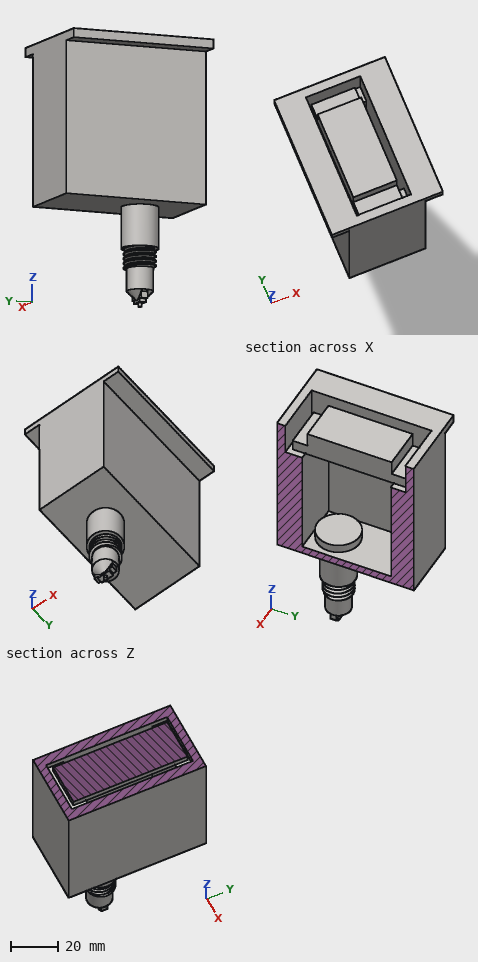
import cadquery as cq
import math


flange_width = 51.0
body_width = 35.0
housing_length = 65.0
flange_thickness = 4.0
housing_height = 70.0
floor_thickness = 4.0
floor_depth = housing_height - floor_thickness

mouth_width = 25.0
mouth_length = 56.9
mouth_depth = 15.0
well_length = 42.0

button_x = -0.3
button_y = 0.6
button_width = 20.0
button_cap_length = 40.0
button_base_length = 54.0
button_base_thickness = 5.0
button_recess = 3.4

probe_y = -9.5
sleeve_diameter = 16.0
sleeve_end_depth = 87.9
collar_diameter = 20.0
collar_thickness = 4.0

nozzle_diameter = 11.5
nozzle_end_diameter = 3.4
thread_diameter = 14.0
thread_pitch = 2.0
thread_crest_width = 0.2
thread_root_width = 1.8
thread_overlap = 0.1
thread_end_depth = 96.6
first_crest_drop = 0.7
cone_start_depth = 106.3
cone_height = (nozzle_diameter - nozzle_end_diameter) / 2

blade_thickness = 2.9
blade_width = 9.8
blade_shoulder_depth = 109.9
blade_tip_width = 6.2
blade_end_depth = 111.4
pin_diameter = 1.6
pin_end_depth = 113.0


def block(width, length, top, bottom, x=0.0, y=0.0):
    """Box centred on (x, y) that spans from depth `top` to depth `bottom`."""
    return (
        cq.Workplane("XY", origin=(x, y, -bottom))
        .rect(width, length)
        .extrude(bottom - top)
    )


def rod(diameter, top, bottom):
    """Cylinder on the probe axis from depth `top` to depth `bottom`."""
    return (
        cq.Workplane("XY", origin=(0, probe_y, -bottom))
        .circle(diameter / 2)
        .extrude(bottom - top)
    )


def make_sleeve():
    collar = rod(collar_diameter, floor_depth - collar_thickness, floor_depth)
    return collar.union(rod(sleeve_diameter, floor_depth, sleeve_end_depth))


def make_housing():
    flange = block(flange_width, housing_length, 0, flange_thickness)
    body = block(body_width, housing_length, flange_thickness, housing_height)
    mouth = block(mouth_width, mouth_length, 0, mouth_depth)
    well = block(mouth_width, well_length, mouth_depth, floor_depth, y=button_y)
    sleeve_hole = rod(sleeve_diameter, floor_depth, housing_height)
    return flange.union(body).cut(mouth).cut(well).cut(sleeve_hole)


def make_button():
    base_top = mouth_depth - button_base_thickness
    cap = block(button_width, button_cap_length, button_recess, base_top, button_x, button_y)
    base = block(button_width, button_base_length, base_top, mouth_depth, button_x, button_y)
    return cap.union(base)


def make_threaded_length():
    """Core with a right-handed ridge, both made too long and then trimmed at the two ends."""
    root_radius = nozzle_diameter / 2 - thread_overlap
    crest_radius = thread_diameter / 2
    turns = math.ceil((thread_end_depth - sleeve_end_depth) / thread_pitch) + 2
    helix_height = turns * thread_pitch
    helix_top = sleeve_end_depth + first_crest_drop - 2 * thread_pitch
    helix_bottom = helix_top + helix_height
    start = cq.Vector(0, probe_y, -helix_bottom)
    helix = cq.Wire.makeHelix(thread_pitch, helix_height, root_radius, center=start)
    ridge = (
        cq.Workplane("XZ", origin=start.toTuple())
        .moveTo(root_radius, -thread_root_width / 2)
        .lineTo(crest_radius, -thread_crest_width / 2)
        .lineTo(crest_radius, thread_crest_width / 2)
        .lineTo(root_radius, thread_root_width / 2)
        .close()
        .sweep(cq.Workplane(helix), isFrenet=True)
    )
    core = rod(nozzle_diameter, helix_top - thread_pitch, helix_bottom + thread_pitch)
    trim = rod(2 * thread_diameter, sleeve_end_depth, thread_end_depth)
    return core.union(ridge).intersect(trim)


def make_blade():
    blade = block(blade_width, blade_thickness, cone_start_depth, blade_shoulder_depth, y=probe_y)
    tip = block(blade_tip_width, blade_thickness, blade_shoulder_depth, blade_end_depth, y=probe_y)
    return blade.union(tip)


def make_nozzle():
    shank = rod(nozzle_diameter, thread_end_depth, cone_start_depth)
    cone = (
        cq.Workplane("XY", origin=(0, probe_y, -cone_start_depth))
        .circle(nozzle_diameter / 2)
        .workplane(offset=-cone_height)
        .circle(nozzle_end_diameter / 2)
        .loft()
    )
    return make_threaded_length().union(shank).union(cone).cut(make_blade())


housing = make_housing()
button = make_button()
sleeve = make_sleeve()
nozzle = make_nozzle()
blade = make_blade()
pin = rod(pin_diameter, blade_end_depth, pin_end_depth)

result = cq.Compound.makeCompound(
    [housing.val(), button.val(), sleeve.val(), nozzle.val(), blade.val(), pin.val()]
)